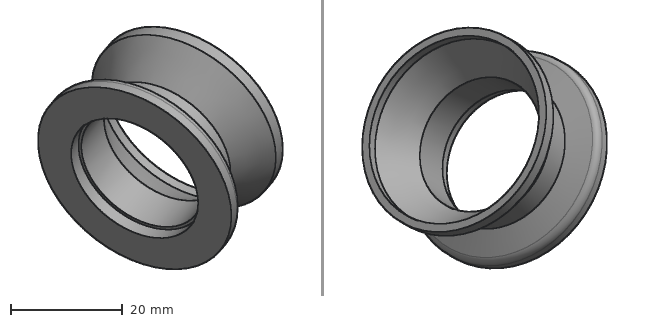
import cadquery as cq
import math

length = 20.0
flange_radius = 20.0
flange_rim_width = 1.9
rim_round_radius = 1.5
clamp_angle = math.radians(15)
neck_radius = 14.0
neck_end = 10.0
collar_radius = 19.05
collar_width = 2.5
bore_radius = 12.5
recess_radius = 13.1
recess_depth = 2.6
flare_radius = 17.5
flare_start = 10.7
flare_end = 18.0

round_center_radius = flange_radius - rim_round_radius


def round_point(angle):
    """Profile point on the rim round, at an angle from the radial direction."""
    return (
        round_center_radius + rim_round_radius * math.cos(angle),
        flange_rim_width + rim_round_radius * math.sin(angle),
    )


round_end_angle = math.pi / 2 - clamp_angle
cone_start = round_point(round_end_angle)
neck_start = cone_start[1] + (cone_start[0] - neck_radius) * math.tan(clamp_angle)

profile = (
    cq.Workplane("XY")
    .moveTo(recess_radius, 0)
    .lineTo(flange_radius, 0)
    .lineTo(flange_radius, flange_rim_width)
    .threePointArc(round_point(round_end_angle / 2), cone_start)
    .lineTo(neck_radius, neck_start)
    .lineTo(neck_radius, neck_end)
    .lineTo(collar_radius, length - collar_width)
    .lineTo(collar_radius, length)
    .lineTo(flare_radius, length)
    .lineTo(flare_radius, flare_end)
    .lineTo(bore_radius, flare_start)
    .lineTo(bore_radius, recess_depth)
    .lineTo(recess_radius, recess_depth)
    .close()
)

result = profile.revolve(360, (0, 0, 0), (0, 1, 0))